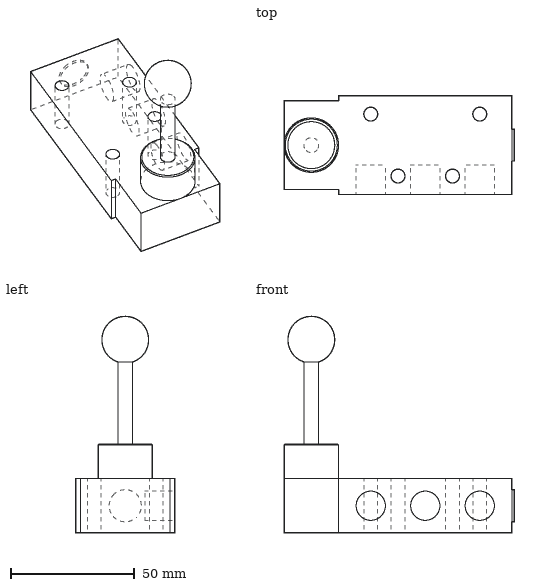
import cadquery as cq

body_height = 22.0
head_length = 22.0
head_width = 36.0
block_length = 70.0
block_width = 40.0
block_end = head_length + block_length
port_height = body_height / 2

port_diameter = 11.8
port_depth = 12.0
port_pitch = 22.0
port_count = 3
first_port_x = 35.0

mount_diameter = 5.5
mount_y = 12.5
middle_port_x = first_port_x + port_pitch
wide_half_pitch = port_pitch
narrow_half_pitch = port_pitch / 2

plug_diameter = 13.0
plug_height = 1.0

lever_x = head_length / 2
collar_diameter = head_length
collar_height = 14.0
collar_chamfer = 0.5
collar_top = body_height + collar_height
stick_diameter = 6.0
ball_diameter = 19.0
total_height = 87.5
ball_center_z = total_height - ball_diameter / 2

pin_diameter = 3.5
pin_y = 15.0
pin_depth = 2.0
bush_diameter = 10.0
bush_depth = 2.0


def vertical_cylinder(x, y, bottom, top, diameter):
    return cq.Workplane("XY", origin=(x, y, bottom)).circle(diameter / 2).extrude(top - bottom)


def make_body():
    head = cq.Workplane("XY").box(head_length, head_width, body_height, centered=(False, True, False))
    block = (
        cq.Workplane("XY", origin=(head_length, 0, 0))
        .box(block_length, block_width, body_height, centered=(False, True, False))
    )
    return head.union(block)


def cut_ports(body):
    for index in range(port_count):
        port_x = first_port_x + index * port_pitch
        port = (
            cq.Workplane("XZ", origin=(port_x, -block_width / 2, port_height))
            .circle(port_diameter / 2)
            .extrude(-port_depth)
        )
        body = body.cut(port)
    return body


def cut_mounting_holes(body):
    for side, half_pitch in ((1, wide_half_pitch), (-1, narrow_half_pitch)):
        for direction in (-1, 1):
            hole_x = middle_port_x + direction * half_pitch
            body = body.cut(vertical_cylinder(hole_x, side * mount_y, 0, body_height, mount_diameter))
    return body


def add_end_plug(body):
    plug = (
        cq.Workplane("YZ", origin=(block_end, 0, port_height))
        .circle(plug_diameter / 2)
        .extrude(plug_height)
    )
    return body.union(plug)


def add_lever(body):
    collar = vertical_cylinder(lever_x, 0, body_height, collar_top, collar_diameter)
    collar = collar.faces(">Z").edges().chamfer(collar_chamfer)
    stick = vertical_cylinder(lever_x, 0, collar_top, ball_center_z, stick_diameter)
    ball = cq.Workplane("XY", origin=(lever_x, 0, ball_center_z)).sphere(ball_diameter / 2)
    return body.union(collar).union(stick).union(ball)


def add_flush_insert(body, y, top, depth, diameter):
    insert = vertical_cylinder(lever_x, y, top - depth, top, diameter)
    return body.union(insert, clean=False)


result = make_body()
result = cut_ports(result)
result = cut_mounting_holes(result)
result = add_end_plug(result)
result = add_lever(result)
for side in (-1, 1):
    result = add_flush_insert(result, side * pin_y, body_height, pin_depth, pin_diameter)
result = add_flush_insert(result, 0, collar_top, bush_depth, bush_diameter)